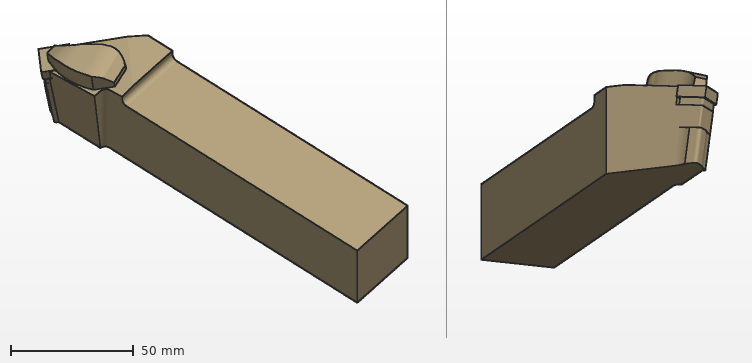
import cadquery as cq
import math


overall_length = 170.0
shank_size = 32.0
edge_height = 32.0
shank_front_y = -0.8
bottom_z = -edge_height
shank_back_y = shank_front_y + shank_size
shank_top_z = bottom_z + shank_size

tilt_angle = 8.0
edge_direction = -45.0
head_rise = 4.8
head_end_x = 45.2
head_end_radius = 2.5
side_step_x = 36.0
side_step_slant = 0.1
side_step_radius = 2.9
side_step_low_y = -13.6
nose_side_y = -6.6
head_top_z = shank_top_z + head_rise
reach = 102.0

insert_side = 12.8
insert_thickness = 4.8
insert_proud = 0.3
nose_radius = 1.2

left_setback = 0.7
front_setback = 0.8
right_setback = 0.5
left_nose_radius = 0.76
right_nose_radius = 1.0
shim_thickness = 3.2
shim_inset = 0.08
shim_back_gap = 1.4

boss_top_depth = 17.5
boss_left_overhang = 1.0
boss_front_overhang = 1.0
boss_corner_radius = 1.5
boss_front_flat_end = 5.1
boss_front_blend_end = 11.0
boss_side_flat_end = 5.0
boss_side_blend_end = 9.9

clamp_height = 8.3
clamp_front_draft = 0.3
clamp_back_draft = 0.5
clamp_corner_draft = 0.7
clamp_tail_skew = 14.0

tip_front_y = -2.5
front_bend = (13.5, -5.0)
front_bulge = (23.0, -6.1)
front_end = (33.3, -4.5)
tail_front = (39.6, 1.7)
tail_back = (37.4, 11.5)
back_corner = (33.3, 14.0)
back_shoulder = (28.2, 12.8)
back_hollow = (19.2, 7.5)
back_neck = (12.8, 3.7)
tip_back_y = 2.9

tip_x = 7.5
tip_slope_end = (11.5, 6.5)
crown_start_x = 19.7
crown_end_x = 27.9
tail_slope_start = (35.4, 6.1)
tail_end = (40.0, 1.4)

clamp_post_centre = (29.8, 4.2)
clamp_post_radius = 5.1


def tilted(body):
    """Tilt a level body about the cutting edge so that its back rises."""
    return body.rotate((0, 0, 0), (1, -1, 0), tilt_angle)


def turned(body):
    """Turn a body so that its X axis runs along the cutting edge."""
    return body.rotate((0, 0, 0), (0, 0, 1), edge_direction)


def blend_middle(start, end, bulge):
    """Middle point of a shallow arc, moved off the chord by bulge."""
    return ((start[0] + end[0]) / 2 + bulge[0], (start[1] + end[1]) / 2 + bulge[1])


def make_insert():
    plate = cq.Workplane("XY").rect(insert_side, insert_side, centered=False).extrude(-insert_thickness)
    plate = plate.edges("|Z and >X and <Y").fillet(nose_radius)
    return tilted(turned(plate))


def make_shank():
    return (
        cq.Workplane("XY", origin=(head_end_x, shank_front_y, bottom_z))
        .box(overall_length - head_end_x, shank_size, shank_size, centered=False)
    )


def head_plan():
    """Upright head block: mitred front, and a slanted side step running into the shank face."""
    mitre_offset = left_setback * math.sqrt(2)
    step_edge = cq.selectors.NearestToPointSelector(
        (side_step_x, shank_front_y, (head_top_z + bottom_z) / 2)
    )
    low_x = side_step_x + side_step_slant * (side_step_low_y - shank_front_y)
    return (
        cq.Workplane("XY", origin=(0, 0, bottom_z))
        .polyline([
            (mitre_offset + side_step_low_y, side_step_low_y),
            (low_x, side_step_low_y),
            (side_step_x, shank_front_y),
            (head_end_x, shank_front_y),
            (head_end_x, shank_back_y),
            (shank_back_y + mitre_offset, shank_back_y),
        ])
        .close()
        .extrude(head_top_z - bottom_z)
        .edges(step_edge)
        .fillet(side_step_radius)
    )


def nose_envelope():
    """Tilted envelope that gives the head its sloping top, nose and side face."""
    right = insert_side - right_setback
    side_start = right + nose_side_y * math.sqrt(2)
    body = (
        cq.Workplane("XY", origin=(0, 0, -insert_proud))
        .polyline([
            (left_setback, front_setback),
            (right, front_setback),
            (right, side_start),
            (right + reach, side_start + reach),
            (left_setback, side_start + reach),
        ])
        .close()
        .extrude(-reach)
    )
    body = body.edges("|Z and <X and <Y").fillet(left_nose_radius)
    body = body.edges(cq.selectors.NearestToPointSelector((right, front_setback, -reach / 2)))
    body = body.fillet(right_nose_radius)
    return tilted(turned(body))


def shim_pocket():
    """Open pocket under the insert, as wide as the nose."""
    return tilted(turned(
        cq.Workplane("XY", origin=(0, 0, -insert_thickness))
        .rect(insert_side - right_setback, insert_side, centered=False)
        .extrude(-shim_thickness)
    ))


def make_shim():
    """Shim that carries the insert, slightly inset and short of the pocket's back wall."""
    left = left_setback + shim_inset
    front = front_setback + shim_inset
    width = insert_side - right_setback - left
    length = insert_side - shim_back_gap - front
    plate = (
        cq.Workplane("XY", origin=(left, front, -insert_thickness))
        .rect(width, length, centered=False)
        .extrude(-shim_thickness)
    )
    plate = plate.edges("|Z and <X and <Y").fillet(left_nose_radius)
    plate = plate.edges("|Z and >X and <Y").fillet(right_nose_radius)
    return tilted(turned(plate))


def corner_boss():
    """Pad round the lower front corner, blended back into the nose by shallow concave arcs."""
    left = left_setback - boss_left_overhang
    front = front_setback - boss_front_overhang
    front_edge = (boss_front_flat_end, front)
    front_blend = (boss_front_blend_end, front_setback)
    side_edge = (left, boss_side_flat_end)
    side_blend = (left_setback, boss_side_blend_end)
    body = (
        cq.Workplane("XY", origin=(0, 0, -boss_top_depth))
        .moveTo(left, front)
        .lineTo(*front_edge)
        .threePointArc(blend_middle(front_edge, front_blend, (0, boss_front_overhang / 4)), front_blend)
        .lineTo(boss_front_blend_end, boss_side_blend_end)
        .lineTo(*side_blend)
        .threePointArc(blend_middle(side_edge, side_blend, (boss_left_overhang / 4, 0)), side_edge)
        .close()
        .extrude(-reach)
        .edges(cq.selectors.NearestToPointSelector((left, front, -boss_top_depth - reach / 2)))
        .fillet(boss_corner_radius)
    )
    above_bottom = cq.Workplane("XY", origin=(0, 0, bottom_z)).box(reach, reach, reach, (True, True, False))
    return tilted(turned(body)).intersect(above_bottom)


def clamp_profile():
    """Side profile of the clamp from its sloping tip, through an arc, to the level crown."""
    chord_angle = math.atan2(clamp_height - tip_slope_end[1], crown_start_x - tip_slope_end[0])
    tip_height = tip_slope_end[1] - (tip_slope_end[0] - tip_x) * math.tan(2 * chord_angle)
    return (
        cq.Workplane("XZ")
        .moveTo(tip_x, 0)
        .lineTo(tip_x, tip_height)
        .lineTo(*tip_slope_end)
        .tangentArcPoint((crown_start_x, clamp_height), relative=False)
        .lineTo(reach, clamp_height)
        .lineTo(reach, 0)
        .close()
        .extrude(reach, both=True)
    )


def clamp_tail_profile():
    """Skewed profile of the clamp from the crown down to its tail."""
    return (
        cq.Workplane("XZ")
        .moveTo(-reach, 0)
        .lineTo(-reach, clamp_height)
        .lineTo(crown_end_x, clamp_height)
        .tangentArcPoint(tail_slope_start, relative=False)
        .lineTo(*tail_end)
        .lineTo(tail_end[0], 0)
        .close()
        .extrude(reach, both=True)
        .rotate((0, 0, 0), (0, 0, 1), clamp_tail_skew)
    )


def clamp_outline(sketch, front_draft, back_draft, corner_draft):
    """Closed clamp outline, moved in at its front side, back side and rounded back corner."""
    def moved(point, dy):
        return (point[0], point[1] + dy)

    return (
        sketch
        .moveTo(tip_x, tip_front_y + front_draft)
        .lineTo(*moved(front_bend, front_draft))
        .threePointArc(moved(front_bulge, front_draft), moved(front_end, front_draft))
        .lineTo(*tail_front)
        .lineTo(*moved(tail_back, -corner_draft))
        .threePointArc(moved(back_corner, -corner_draft), moved(back_shoulder, -back_draft))
        .spline(
            [
                moved(back_hollow, -back_draft),
                moved(back_neck, -back_draft),
                (tip_x, tip_back_y - back_draft),
            ],
            includeCurrent=True,
        )
        .close()
    )


def make_clamp():
    """Clamp resting level with the insert's top, joined to the lower head top by a short post."""
    base = clamp_outline(cq.Workplane("XY"), 0, 0, 0)
    crown = base.workplane(offset=clamp_height)
    blank = clamp_outline(crown, clamp_front_draft, clamp_back_draft, clamp_corner_draft).loft(ruled=True)
    finger = blank.intersect(clamp_profile()).intersect(clamp_tail_profile())
    post = cq.Workplane("XY").center(*clamp_post_centre).circle(clamp_post_radius).extrude(-insert_proud)
    return tilted(finger.union(post))


def head_end_fillet():
    """Concave fillet between the head's end wall and the shank top."""
    return (
        cq.Workplane("XZ", origin=(head_end_x, shank_front_y, shank_top_z))
        .lineTo(head_end_radius, 0)
        .radiusArc((0, head_end_radius), head_end_radius)
        .close()
        .extrude(-shank_size)
    )


insert = make_insert()
head = head_plan().intersect(nose_envelope()).cut(shim_pocket()).union(make_shim()).union(corner_boss())
holder = head.union(make_shank()).union(head_end_fillet()).union(make_clamp()).cut(insert)

result = cq.Compound.makeCompound([holder.val(), insert.val()])